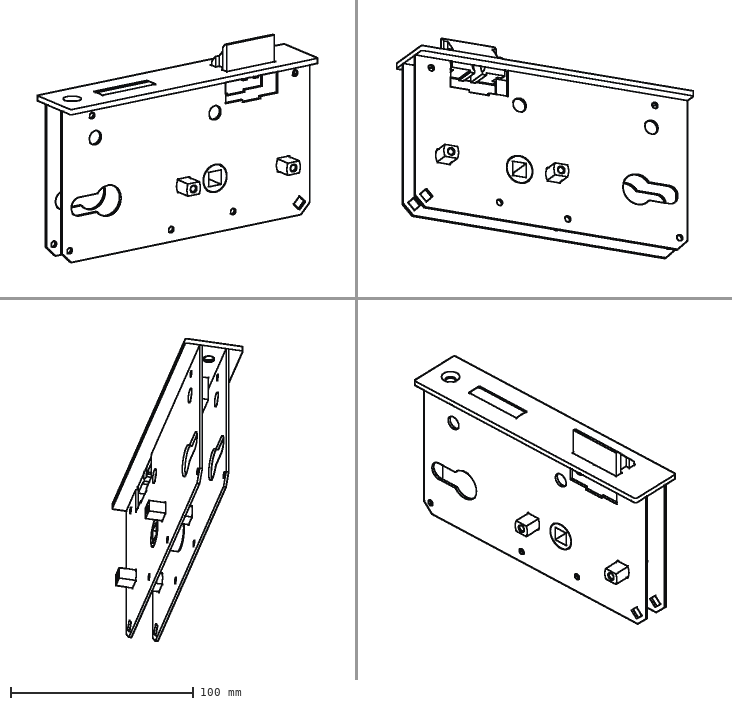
import cadquery as cq
import math


case_length = 166.0
case_height = 88.0
case_width = 16.5
sheet = 1.5
inner_gap = case_width - 2 * sheet
corner_chamfer = 6.0

face_width = 32.5
face_thickness = 3.0
face_corner_radius = 1.0
face_top = case_height + face_thickness
face_screw_y = -70.7
face_screw_diameter = 6.0
face_countersink_diameter = 10.0
face_countersink_angle = 90

latch_y = 44.0
latch_length = 32.0
latch_width = 14.5
latch_projection = 15.1
latch_nose = 1.5
latch_lip = 2.0
latch_bottom = 84.8
latch_groove_width = 6.8
latch_groove_depth = 2.5
latch_side_clearance = 0.5
latch_end_clearance = 0.42
latch_foot_length = 10.0
latch_foot_height = 1.2
latch_hole_z = 88.0
latch_hole_diameter = 4.5
latch_countersink_diameter = 7.6

deadbolt_y = -35.4
deadbolt_length = 35.2
deadbolt_width = 8.5
deadbolt_bottom = 73.7
deadbolt_flat = 1.5
deadbolt_crown = 1.0
deadbolt_end_clearance = 0.25

spindle_z = 31.2
hub_y = 19.5
hub_diameter = 17.0
hub_body_length = 12.6
hub_collar_diameter = 15.5
hub_hole_diameter = 16.0
spindle_square = 8.3

pillar_ys = (65.5, -1.5)
pillar_length = 35.0
pillar_flat = 7.6
pillar_height = 7.0
pillar_bulge = 0.7
pillar_clearance = 0.5
pillar_bore_diameter = 3.3
pillar_bore_depth = 10.0
pillar_bore_chamfer = 0.5
drill_tip_half_angle = 59.0

rivet_diameter = 3.5
rivet_holes = ((73.2, 82.0), (-63.0, 82.0), (31.5, 10.0), (-10.0, 7.0), (-78.2, 7.0))
access_diameter = 8.0
access_z = 68.9
access_ys = (19.5, -61.0)
cylinder_diameter = 17.6
cylinder_y = -52.5
cylinder_slot_width = 10.6
cylinder_slot_end_y = -77.0
window_length = 35.0
window_depth = 15.1
window_step_length = 12.0
window_step_depth = 1.3
diamond_side = 5.5
diamond_y = 76.2
diamond_z = 7.0
diamond_turn = 45


def bar_x(profile, length):
    """Extrude a YZ profile to the given length, centred on X = 0."""
    return profile.extrude(length).translate((-length / 2, 0, 0))


def yz_plane(y=0.0, z=0.0):
    return cq.Workplane("YZ", origin=(0, y, z))


def cone(origin, direction, base_diameter, tip_diameter, height):
    start = cq.Vector(*origin)
    axis = cq.Vector(*direction)
    return cq.Workplane(cq.Solid.makeCone(base_diameter / 2, tip_diameter / 2, height, start, axis))


def pillar_outline(y, offset=0.0):
    """Flat top and bottom with bulging sides, grown outward by the offset."""
    half_flat = pillar_flat / 2
    half_width = pillar_flat / 2 + pillar_bulge + offset
    half_height = pillar_height / 2 + offset
    return (
        yz_plane(y, spindle_z)
        .moveTo(-half_flat, -half_height)
        .lineTo(half_flat, -half_height)
        .threePointArc((half_width, 0), (half_flat, half_height))
        .lineTo(-half_flat, half_height)
        .threePointArc((-half_width, 0), (-half_flat, -half_height))
        .close()
    )


def latch_outline(z, side_offset=0.0, end_offset=0.0):
    """Rectangle with a guide groove in each end, grown outward by the offsets."""
    length = latch_length + 2 * end_offset
    groove_width = latch_groove_width - 2 * side_offset
    outline = cq.Sketch().rect(latch_width + 2 * side_offset, length)
    for side in (-1, 1):
        groove = cq.Sketch().rect(groove_width, 2 * latch_groove_depth)
        outline = outline.face(groove.moved(cq.Location((0, side * length / 2, 0))), mode="s")
    return cq.Workplane("XY", origin=(0, latch_y, z)).placeSketch(outline)


def plate_openings():
    """List of bars that cut the openings shared by both case plates."""
    span = case_width
    openings = [bar_x(yz_plane().pushPoints(rivet_holes).circle(rivet_diameter / 2), span)]
    access_points = [(y, access_z) for y in access_ys]
    openings.append(bar_x(yz_plane().pushPoints(access_points).circle(access_diameter / 2), span))
    openings.append(bar_x(yz_plane(hub_y, spindle_z).circle(hub_hole_diameter / 2), span))
    for y in pillar_ys:
        openings.append(bar_x(pillar_outline(y, pillar_clearance), span))

    slot_length = cylinder_y - cylinder_slot_end_y + cylinder_slot_width / 2
    slot_y = cylinder_slot_end_y + slot_length / 2
    openings.append(bar_x(yz_plane(cylinder_y, spindle_z).circle(cylinder_diameter / 2), span))
    openings.append(bar_x(yz_plane(slot_y, spindle_z).slot2D(slot_length, cylinder_slot_width), span))

    step_depth = window_depth + window_step_depth
    for length, depth in ((window_length, window_depth), (window_step_length, step_depth)):
        openings.append(bar_x(yz_plane(latch_y, case_height - depth / 2).rect(length, depth), span))

    diamond_plane = yz_plane(diamond_y, diamond_z).transformed(rotate=(0, 0, diamond_turn))
    openings.append(bar_x(diamond_plane.rect(diamond_side, diamond_side), span))
    return openings


def make_case_plate(side, openings):
    centre = (side * (inner_gap + sheet) / 2, 0, case_height / 2)
    plate = (
        cq.Workplane("XY")
        .box(sheet, case_length, case_height)
        .edges("|X and <Z")
        .chamfer(corner_chamfer)
        .translate(centre)
    )
    for opening in openings:
        plate = plate.cut(opening)
    return plate


def make_faceplate():
    plate = (
        cq.Workplane("XY", origin=(0, 0, case_height))
        .rect(face_width, case_length)
        .extrude(face_thickness)
        .edges("|Z")
        .fillet(face_corner_radius)
    )
    latch_opening = latch_outline(case_height, latch_side_clearance, latch_end_clearance)
    plate = plate.cut(latch_opening.extrude(face_thickness))
    slot_length = deadbolt_length + 2 * deadbolt_end_clearance
    slot = cq.Workplane("XY", origin=(0, deadbolt_y, case_height)).rect(deadbolt_width, slot_length)
    plate = plate.cut(slot.extrude(face_thickness))
    return (
        plate.faces(">Z")
        .workplane(origin=(0, face_screw_y, face_top))
        .cskHole(face_screw_diameter, face_countersink_diameter, face_countersink_angle)
    )


def make_latch():
    top = face_top + latch_projection
    lip_top = face_top + latch_lip
    half_width = latch_width / 2
    latch = latch_outline(latch_bottom).extrude(top - latch_bottom)
    foot_bottom = latch_bottom - latch_foot_height
    foot = cq.Workplane("XY", origin=(0, latch_y, foot_bottom)).rect(latch_width, latch_foot_length)
    latch = latch.union(foot.extrude(latch_foot_height))

    bevel = (
        cq.Workplane("XZ")
        .polyline([(-half_width, lip_top), (half_width - latch_nose, top), (-half_width, top)])
        .close()
        .extrude(latch_length / 2, both=True)
        .translate((0, latch_y, 0))
    )
    latch = latch.cut(bevel)

    slot_depth = latch_hole_z - foot_bottom
    hole = bar_x(yz_plane(latch_y, latch_hole_z).circle(latch_hole_diameter / 2), latch_width)
    slot_profile = yz_plane(latch_y, latch_hole_z - slot_depth / 2).rect(latch_hole_diameter, slot_depth)
    countersink = cone(
        (-half_width, latch_y, latch_hole_z),
        (1, 0, 0),
        latch_countersink_diameter,
        latch_hole_diameter,
        (latch_countersink_diameter - latch_hole_diameter) / 2,
    )
    return latch.cut(hole).cut(bar_x(slot_profile, latch_width)).cut(countersink)


def make_deadbolt():
    half_width = deadbolt_width / 2
    half_flat = deadbolt_flat / 2
    shoulder = face_top - deadbolt_crown
    half_bolt = (
        cq.Workplane("XZ", origin=(0, deadbolt_y + deadbolt_length / 2, 0))
        .moveTo(0, deadbolt_bottom)
        .lineTo(0, face_top)
        .lineTo(half_flat, face_top)
        .tangentArcPoint((half_width, shoulder), relative=False)
        .lineTo(half_width, deadbolt_bottom)
        .close()
        .extrude(deadbolt_length)
    )
    return half_bolt.union(half_bolt.mirror("YZ")).clean()


def make_hub():
    centre = (hub_y, spindle_z)
    body = bar_x(yz_plane(*centre).circle(hub_diameter / 2), hub_body_length)
    collars = bar_x(yz_plane(*centre).circle(hub_collar_diameter / 2), case_width)
    spindle_hole = bar_x(yz_plane(*centre).rect(spindle_square, spindle_square), case_width)
    return body.union(collars).cut(spindle_hole)


def make_pillar(y):
    pillar = bar_x(pillar_outline(y), pillar_length)
    tip_height = pillar_bore_diameter / 2 / math.tan(math.radians(drill_tip_half_angle))
    mouth_diameter = pillar_bore_diameter + 2 * pillar_bore_chamfer
    for side in (-1, 1):
        inward = (-side, 0, 0)
        mouth = (side * pillar_length / 2, y, spindle_z)
        bore_floor = (side * (pillar_length / 2 - pillar_bore_depth), y, spindle_z)
        bore = cq.Solid.makeCylinder(
            pillar_bore_diameter / 2, pillar_bore_depth, cq.Vector(*mouth), cq.Vector(*inward)
        )
        pillar = pillar.cut(cq.Workplane(bore))
        pillar = pillar.cut(cone(bore_floor, inward, pillar_bore_diameter, 0, tip_height))
        pillar = pillar.cut(cone(mouth, inward, mouth_diameter, pillar_bore_diameter, pillar_bore_chamfer))
    return pillar


openings = plate_openings()
case_plates = [make_case_plate(side, openings) for side in (-1, 1)]
faceplate = make_faceplate()
latch = make_latch()
deadbolt = make_deadbolt()
hub = make_hub()
pillars = [make_pillar(y) for y in pillar_ys]

result = cq.Compound.makeCompound(
    [
        *[plate.val() for plate in case_plates],
        faceplate.val(),
        latch.val(),
        deadbolt.val(),
        hub.val(),
        *[pillar.val() for pillar in pillars],
    ]
)